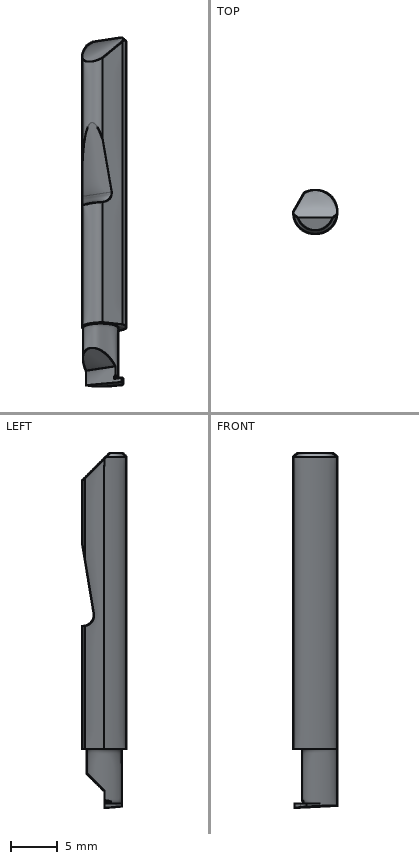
import cadquery as cq
import math

length = 38.1
shank_diameter = 4.75
shank_radius = shank_diameter / 2
shank_bottom = 6.32
shank_chamfer = 0.42
flat_angle = 60.0

bevel_start_y = -0.6

notch_top = 28.4
notch_bottom = 19.55
notch_radius = 1.15
notch_depth = 1.25
notch_ramp_end = 20.75

neck_radius = 1.9
neck_center_x = shank_radius - neck_radius
neck_cut_height = 1.83

head_top = 0.5
cutting_tip_x = -2.25
side_end = (-1.6, -1.25)
front_start = (-0.95, -neck_radius)
side_radius = 2.35
bottom_slope = 0.05

relief_x = -1.3
relief_full_height = 0.7
relief_top = 0.85

margin = 3.8


def extrude_along_x(sketch):
    """Extrude a closed YZ outline through the whole width of the shank."""
    return sketch.extrude(shank_diameter, both=True)


def make_shank():
    """Round shank with chamfered top, locating flat, top bevel and notch."""
    shank = (
        cq.Workplane("XY")
        .workplane(offset=shank_bottom)
        .circle(shank_radius)
        .extrude(length - shank_bottom)
        .faces(">Z")
        .chamfer(shank_chamfer)
    )

    angle = math.radians(flat_angle)
    flat_end = (
        -shank_radius * math.cos(angle),
        shank_radius * math.sin(angle),
    )
    flat_cut = (
        cq.Workplane("XY")
        .moveTo(-shank_radius, 0)
        .lineTo(*flat_end)
        .lineTo(flat_end[0], margin)
        .lineTo(-margin, margin)
        .lineTo(-margin, 0)
        .close()
        .extrude(length + margin)
    )

    bevel_reach = margin - bevel_start_y
    bevel_cut = extrude_along_x(
        cq.Workplane("YZ")
        .moveTo(bevel_start_y, length)
        .lineTo(margin, length - bevel_reach)
        .lineTo(margin, length)
        .close()
    )

    notch_floor_y = shank_radius - notch_depth
    notch_cut = extrude_along_x(
        cq.Workplane("YZ")
        .moveTo(margin, notch_top)
        .lineTo(shank_radius, notch_top)
        .lineTo(notch_floor_y, notch_ramp_end)
        .radiusArc((notch_floor_y + notch_radius, notch_bottom), -notch_radius)
        .lineTo(margin, notch_bottom)
        .close()
    )
    return shank.cut(flat_cut).cut(bevel_cut).cut(notch_cut)


def make_neck():
    """Neck cut to a half round, with a 45 degree run-out and tip relief."""
    neck = (
        cq.Workplane("XY")
        .center(neck_center_x, 0)
        .circle(neck_radius)
        .extrude(shank_bottom)
    )
    rake_cut = extrude_along_x(
        cq.Workplane("YZ")
        .lineTo(0, neck_cut_height)
        .lineTo(margin, neck_cut_height + margin)
        .lineTo(margin, 0)
        .close()
    )
    relief_cut = (
        cq.Workplane("XZ")
        .moveTo(relief_x, 0)
        .lineTo(relief_x, relief_full_height)
        .lineTo(neck_center_x - neck_radius, relief_top)
        .lineTo(-margin, relief_top)
        .lineTo(-margin, 0)
        .close()
        .extrude(neck_radius)
    )
    return neck.cut(rake_cut).cut(relief_cut)


def make_head():
    """Thin cutting head with a curved side and a straight corner facet."""
    return (
        cq.Workplane("XY")
        .moveTo(cutting_tip_x, 0)
        .radiusArc(side_end, -side_radius)
        .lineTo(*front_start)
        .lineTo(neck_center_x, -neck_radius)
        .lineTo(neck_center_x, 0)
        .close()
        .extrude(head_top)
    )


def make_bottom_clearance():
    """Block below the sloping end face, which is lowest at the cutting tip."""
    end_plane = cq.Plane(
        origin=(cutting_tip_x, 0, 0),
        xDir=(1, 0, bottom_slope),
        normal=(-bottom_slope, bottom_slope, 1),
    )
    block_width = 4 * shank_diameter
    return cq.Workplane(end_plane).rect(block_width, block_width).extrude(-margin)


result = (
    make_shank()
    .union(make_neck())
    .union(make_head())
    .cut(make_bottom_clearance())
)